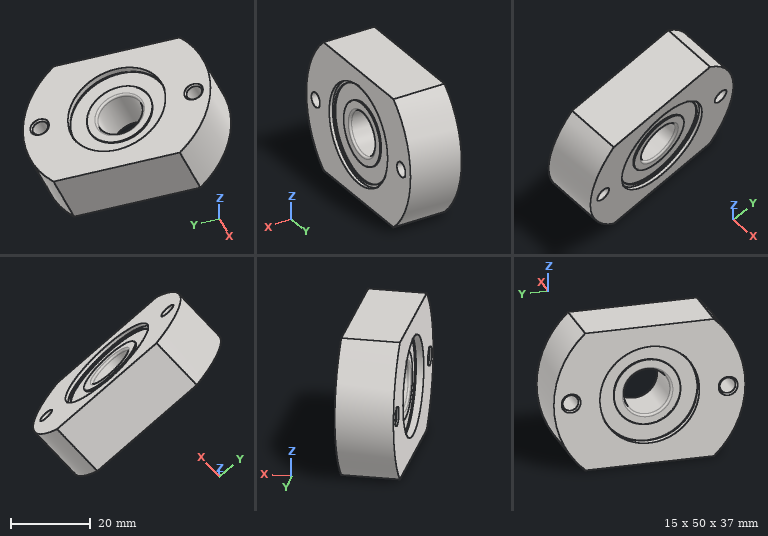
import cadquery as cq

thickness = 15.0
outer_diameter = 50.0
height_over_flats = 37.0
lip_bore_diameter = 26.0
lip_thickness = 2.0

mount_hole_diameter = 4.1
mount_hole_spacing = 41.0
mount_hole_chamfer = 0.45

bearing_diameter = 28.0
bearing_width = 12.0
inner_ring_diameter = 17.4
shaft_bore_diameter = 12.0
shaft_bore_fillet = 0.6

shield_recess_diameter = 26.5
shield_recess_depth = 0.4

front_x = -thickness / 2
bearing_front_x = front_x + lip_thickness
bearing_back_x = bearing_front_x + bearing_width


def make_ring(outside_diameter, inside_diameter, start_x, width):
    """Ring about the X axis, extending from start_x toward +X."""
    return (
        cq.Workplane("YZ", origin=(start_x, 0, 0))
        .circle(outside_diameter / 2)
        .circle(inside_diameter / 2)
        .extrude(width)
    )


def make_mount_holes():
    """Cutters for the mounting holes, flared at the front by a chamfer."""
    hole_centres = [(-mount_hole_spacing / 2, 0), (mount_hole_spacing / 2, 0)]
    front_plane = cq.Workplane("YZ", origin=(front_x, 0, 0)).pushPoints(hole_centres)
    straight_holes = front_plane.circle(mount_hole_diameter / 2).extrude(thickness)
    flares = (
        front_plane.circle(mount_hole_diameter / 2 + mount_hole_chamfer)
        .extrude(mount_hole_chamfer, taper=45)
    )
    return straight_holes.union(flares)


def make_housing():
    """Flatted disc with a front lip, a bearing seat open at the back, and mounting holes."""
    flats = cq.Workplane("XY").box(thickness, outer_diameter, height_over_flats)
    disc = make_ring(outer_diameter, lip_bore_diameter, front_x, thickness)
    seat = (
        cq.Workplane("YZ", origin=(bearing_front_x, 0, 0))
        .circle(bearing_diameter / 2)
        .extrude(thickness - lip_thickness)
    )
    return disc.intersect(flats).cut(seat).cut(make_mount_holes())


def make_outer_ring():
    """Outer bearing ring with its shield areas set back on both faces."""
    ring = make_ring(bearing_diameter, inner_ring_diameter, bearing_front_x, bearing_width)
    for recess_x in (bearing_front_x, bearing_back_x - shield_recess_depth):
        recess = make_ring(
            shield_recess_diameter, inner_ring_diameter, recess_x, shield_recess_depth
        )
        ring = ring.cut(recess)
    return ring


def make_inner_ring():
    """Inner bearing ring with both ends of its bore rounded."""
    ring = make_ring(inner_ring_diameter, shaft_bore_diameter, bearing_front_x, bearing_width)
    bore_mouths = ring.faces("<X or >X").edges(cq.selectors.RadiusNthSelector(0))
    return bore_mouths.fillet(shaft_bore_fillet)


housing = make_housing().solids()
outer_ring = make_outer_ring().solids()
inner_ring = make_inner_ring().solids()

result = cq.Compound.makeCompound([housing.val(), outer_ring.val(), inner_ring.val()])